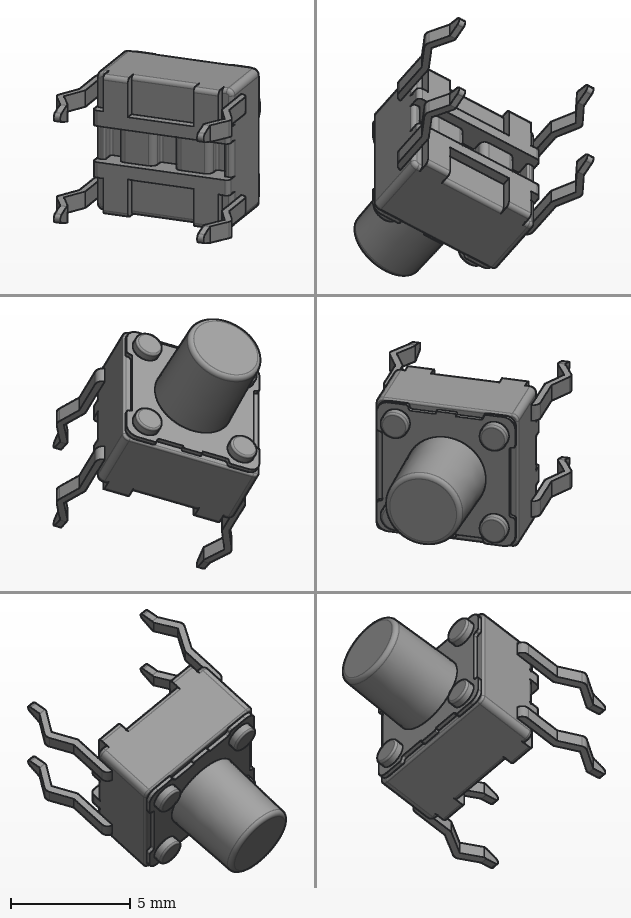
import cadquery as cq
import math


body_width = 6.2
body_depth = 3.33
body_corner_round = 0.29
rear_round = 0.1
front_round = 0.2

standoff_height = 0.41
channel_width = 1.61
pocket_width = 2.98
pocket_inner_z = 1.39
notch_inner_x = 2.61
notch_inner_z = 1.49

groove_depth = 0.64
groove_floor_round = 0.09
groove_flare = 0.29
lip_round = 0.09
centre_groove_wall = 0.44
side_groove_inner_wall = 2.09
side_groove_outer_wall = 2.71

plate_thickness = 0.19
plate_half_width = 3.01
plate_corner_round = 0.49
plate_recess = 0.25
plate_step_round = plate_recess / 2
lobe_inner_edge = 1.63
tab_half_width = 0.44
tab_height = 0.13
tab_round = 0.06

peg_offset = 2.15
peg_radius = 0.6
peg_height = 0.4
peg_round = 0.09
overall_length = 10.5
button_height = 3.5
button_base_radius = 1.74
button_tip_radius = 1.66
button_round = 0.21

leg_thickness = 0.3
leg_width = 0.74
leg_offset_z = 2.25
leg_top_y = 1.34
leg_shoulder_round = 0.35
upper_bend_y = -0.77
knee_y = -1.78
lower_bend_y = -2.69
knee_outer_x = 3.95
taper_length = 0.56
tip_half_width = 0.2

half_body = body_width / 2
plate_rear_y = body_depth + plate_thickness
button_tip_y = plate_rear_y + button_height
leg_tip_y = button_tip_y - overall_length


def block(x_span, y_span, z_span):
    """Box between two limits along each axis."""
    size = [high - low for low, high in (x_span, y_span, z_span)]
    corner = (x_span[0], y_span[0], z_span[0])
    return cq.Workplane("XY").box(*size, centered=False).translate(corner)


def rounded_housing(front_y):
    """Housing block from front_y to the rear face, with all of its outer edges rounded."""
    housing = block((-half_body, half_body), (front_y, body_depth), (-half_body, half_body))
    housing = housing.edges("|Y").fillet(body_corner_round)
    return housing.faces("<Y").edges().fillet(front_round).faces(">Y").edges().fillet(rear_round)


def mirrored_pair(solid, plane):
    return solid.union(solid.mirror(plane))


def make_housing():
    recess = (0, standoff_height + front_round)
    channel = block((-half_body, half_body), recess, (-channel_width / 2, channel_width / 2))
    pocket = block((-pocket_width / 2, pocket_width / 2), recess, (pocket_inner_z, half_body))
    notch = block((notch_inner_x, half_body), recess, (notch_inner_z, half_body))
    upper_recesses = pocket.union(mirrored_pair(notch, "YZ"))
    standoffs = rounded_housing(0).cut(channel).cut(mirrored_pair(upper_recesses, "XY"))
    return standoffs.union(rounded_housing(standoff_height))


def make_groove(left_wall, right_wall, left_round, right_round):
    """Groove along Z with flared mouth edges and a rounded floor."""
    mouth_y = standoff_height
    floor_y = mouth_y + groove_depth
    corner = groove_floor_round
    return (
        cq.Workplane("XY", origin=(0, 0, -channel_width / 2))
        .moveTo(left_wall - left_round, mouth_y)
        .radiusArc((left_wall, mouth_y + left_round), -left_round)
        .lineTo(left_wall, floor_y - corner)
        .radiusArc((left_wall + corner, floor_y), corner)
        .lineTo(right_wall - corner, floor_y)
        .radiusArc((right_wall, floor_y - corner), corner)
        .lineTo(right_wall, mouth_y + right_round)
        .radiusArc((right_wall + right_round, mouth_y), -right_round)
        .close()
        .extrude(channel_width)
    )


def make_grooves():
    centre = make_groove(-centre_groove_wall, centre_groove_wall, groove_flare, groove_flare)
    side = make_groove(side_groove_inner_wall, side_groove_outer_wall, groove_flare, lip_round)
    return centre.union(mirrored_pair(side, "YZ"))


def make_plate():
    """Plate with raised corner lobes and a small tab midway along its top and bottom edges."""
    edge = plate_half_width
    low_edge = edge - plate_recess
    middle = edge - plate_step_round
    tab_top = low_edge + tab_height
    step_start = lobe_inner_edge - plate_step_round
    step_end = lobe_inner_edge + plate_step_round
    corner_start = edge - plate_corner_round
    quarter = (
        cq.Workplane("XZ", origin=(0, plate_rear_y, 0))
        .lineTo(0, tab_top)
        .lineTo(tab_half_width - tab_round, tab_top)
        .radiusArc((tab_half_width, tab_top - tab_round), tab_round)
        .lineTo(tab_half_width, low_edge)
        .lineTo(step_start, low_edge)
        .radiusArc((lobe_inner_edge, middle), -plate_step_round)
        .radiusArc((step_end, edge), plate_step_round)
        .lineTo(corner_start, edge)
        .radiusArc((edge, corner_start), plate_corner_round)
        .lineTo(edge, step_end)
        .radiusArc((middle, lobe_inner_edge), plate_step_round)
        .radiusArc((low_edge, step_start), -plate_step_round)
        .lineTo(low_edge, 0)
        .close()
        .extrude(plate_thickness)
    )
    return mirrored_pair(mirrored_pair(quarter, "YZ"), "XY").clean()


def make_pegs():
    return (
        cq.Workplane("XZ", origin=(0, plate_rear_y, 0))
        .rect(2 * peg_offset, 2 * peg_offset, forConstruction=True)
        .vertices()
        .circle(peg_radius)
        .extrude(-peg_height)
        .faces(">Y")
        .edges()
        .fillet(peg_round)
    )


def make_button():
    """Slightly tapered round button with a rounded tip."""
    return (
        cq.Workplane("XY")
        .moveTo(0, plate_rear_y)
        .lineTo(button_base_radius, plate_rear_y)
        .lineTo(button_tip_radius, button_tip_y)
        .lineTo(0, button_tip_y)
        .close()
        .revolve(360, (0, 0, 0), (0, 1, 0))
        .faces(">Y")
        .edges()
        .fillet(button_round)
    )


def make_leg():
    """Leg on the +X side: a bent strip whose end narrows to a round tip."""
    inner_x = half_body
    outer_x = inner_x + leg_thickness
    knee_x = knee_outer_x - leg_thickness
    reach = knee_x - inner_x
    shoulder_end_y = leg_top_y - leg_shoulder_round
    upper_lean = math.atan2(reach, upper_bend_y - knee_y)
    lower_lean = math.atan2(reach, knee_y - lower_bend_y)
    upper_outer_y = upper_bend_y + leg_thickness * math.tan(upper_lean / 2)
    lower_outer_y = lower_bend_y - leg_thickness * math.tan(lower_lean / 2)

    def knee_arc_point(angle):
        return (knee_x + leg_thickness * math.cos(angle), knee_y + leg_thickness * math.sin(angle))

    strip = (
        cq.Workplane("XY")
        .moveTo(outer_x - leg_shoulder_round, leg_top_y)
        .radiusArc((outer_x, shoulder_end_y), leg_shoulder_round)
        .lineTo(outer_x, upper_outer_y)
        .lineTo(*knee_arc_point(upper_lean))
        .radiusArc(knee_arc_point(-lower_lean), leg_thickness)
        .lineTo(outer_x, lower_outer_y)
        .lineTo(outer_x, leg_tip_y)
        .lineTo(inner_x, leg_tip_y)
        .lineTo(inner_x, lower_bend_y)
        .lineTo(knee_x, knee_y)
        .lineTo(inner_x, upper_bend_y)
        .lineTo(inner_x, shoulder_end_y)
        .close()
        .extrude(leg_width / 2, both=True)
    )

    taper_angle = math.atan2(leg_width / 2 - tip_half_width, taper_length)
    tip_radius = tip_half_width / math.cos(taper_angle)
    round_start_y = leg_tip_y + tip_radius * (1 - math.sin(taper_angle))
    taper_start_y = round_start_y + taper_length
    silhouette = (
        cq.Workplane("YZ")
        .moveTo(leg_top_y, leg_width / 2)
        .lineTo(taper_start_y, leg_width / 2)
        .lineTo(round_start_y, tip_half_width)
        .threePointArc((leg_tip_y, 0), (round_start_y, -tip_half_width))
        .lineTo(taper_start_y, -leg_width / 2)
        .lineTo(leg_top_y, -leg_width / 2)
        .close()
        .extrude(knee_outer_x)
    )
    return strip.intersect(silhouette).translate((0, 0, leg_offset_z))


legs = mirrored_pair(mirrored_pair(make_leg(), "YZ"), "XY")

result = make_housing().cut(make_grooves())
for feature in (make_plate(), make_pegs(), make_button(), legs):
    result = result.union(feature)